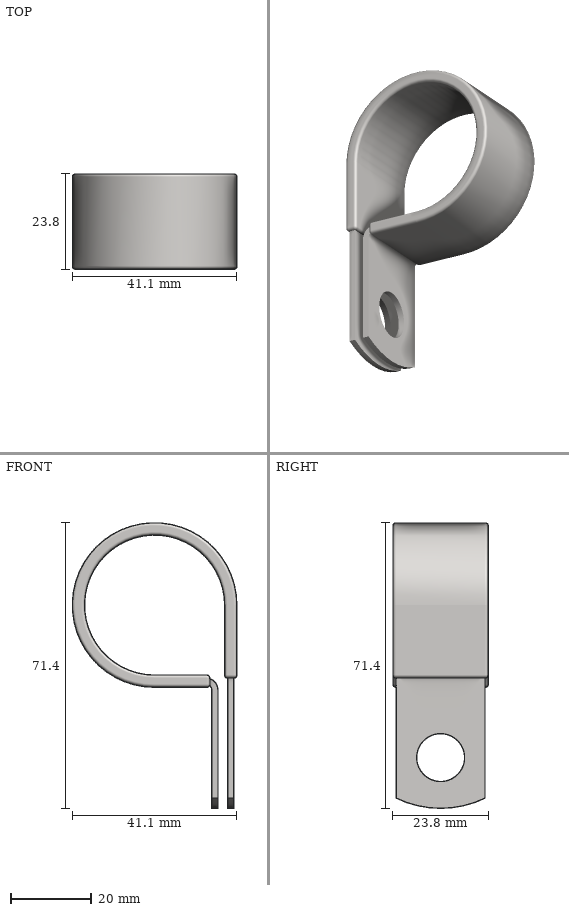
import cadquery as cq
import math


strap_thickness = 1.5875
strap_width = 22.225
bend_inner_radius = 1.4
tab_gap = 2.38
tab_bottom_z = -50.795
tab_end_radius = 25.4
hole_diameter = 11.906
hole_height = 12.7

loop_inner_radius = 17.4625
cushion_wall = 0.762
cushion_width = 23.8125
edge_fillet = 0.76
bottom_arm_end_x = 13.8
side_arm_end_z = -18.25

loop_outer_radius = loop_inner_radius + strap_thickness + 2 * cushion_wall
strap_inner_radius = loop_inner_radius + cushion_wall
strap_outer_radius = strap_inner_radius + strap_thickness
outer_tab_x = strap_inner_radius
inner_tab_x = outer_tab_x - tab_gap - strap_thickness
bend_outer_radius = bend_inner_radius + strap_thickness
bend_x = inner_tab_x - bend_inner_radius
bend_z = -strap_outer_radius - bend_inner_radius
tab_overlap = 1.0


def polar(radius, angle, center=(0.0, 0.0)):
    """Point at an angle in degrees around a centre in the XZ plane."""
    turn = math.radians(angle)
    return (center[0] + radius * math.cos(turn), center[1] + radius * math.sin(turn))


def extrude_centered(profile, width):
    """Extrude an XZ profile symmetrically about Y = 0."""
    return profile.extrude(width / 2, both=True)


def make_cushion():
    """Three-quarter loop with one arm downward and one along +X, all edges rounded."""
    profile = (
        cq.Workplane("XZ")
        .moveTo(loop_outer_radius, side_arm_end_z)
        .lineTo(loop_outer_radius, 0)
        .threePointArc(polar(loop_outer_radius, 135), (0, -loop_outer_radius))
        .lineTo(bottom_arm_end_x, -loop_outer_radius)
        .lineTo(bottom_arm_end_x, -loop_inner_radius)
        .lineTo(0, -loop_inner_radius)
        .threePointArc(polar(loop_inner_radius, 135), (loop_inner_radius, 0))
        .lineTo(loop_inner_radius, side_arm_end_z)
        .close()
    )
    cushion = extrude_centered(profile, cushion_width)
    side_arm_end = cq.selectors.NearestToPointSelector(
        ((loop_inner_radius + loop_outer_radius) / 2, 0, side_arm_end_z)
    )
    bottom_arm_end = cq.selectors.NearestToPointSelector(
        (bottom_arm_end_x, 0, -(loop_inner_radius + loop_outer_radius) / 2)
    )
    rims = cushion.faces("<Y or >Y").edges()
    ends = cushion.faces(side_arm_end).add(cushion.faces(bottom_arm_end)).edges()
    return rims.add(ends).fillet(edge_fillet)


def make_outer_tab():
    """Straight tab continuing the downward arm."""
    profile = (
        cq.Workplane("XZ")
        .moveTo(outer_tab_x, side_arm_end_z + tab_overlap)
        .lineTo(outer_tab_x + strap_thickness, side_arm_end_z + tab_overlap)
        .lineTo(outer_tab_x + strap_thickness, tab_bottom_z)
        .lineTo(outer_tab_x, tab_bottom_z)
        .close()
    )
    return extrude_centered(profile, strap_width)


def make_inner_tab():
    """Tab leaving the +X arm and bending down through a right angle."""
    bend_center = (bend_x, bend_z)
    start_x = bend_x - tab_overlap
    profile = (
        cq.Workplane("XZ")
        .moveTo(start_x, -strap_inner_radius)
        .lineTo(bend_x, -strap_inner_radius)
        .threePointArc(
            polar(bend_outer_radius, 45, bend_center),
            (inner_tab_x + strap_thickness, bend_z),
        )
        .lineTo(inner_tab_x + strap_thickness, tab_bottom_z)
        .lineTo(inner_tab_x, tab_bottom_z)
        .lineTo(inner_tab_x, bend_z)
        .threePointArc(
            polar(bend_inner_radius, 45, bend_center),
            (bend_x, -strap_outer_radius),
        )
        .lineTo(start_x, -strap_outer_radius)
        .close()
    )
    return extrude_centered(profile, strap_width)


def make_tab_envelope():
    """Block along X whose shallow rounded lower end shapes both tabs."""
    half_width = strap_width / 2
    arc_rise = tab_end_radius - math.sqrt(tab_end_radius**2 - half_width**2)
    corner_z = tab_bottom_z + arc_rise
    return (
        cq.Workplane("YZ")
        .moveTo(-half_width, 0)
        .lineTo(-half_width, corner_z)
        .threePointArc((0, tab_bottom_z), (half_width, corner_z))
        .lineTo(half_width, 0)
        .close()
        .extrude(loop_outer_radius)
    )


def make_bolt_hole():
    """Cylinder along X passing through both tabs."""
    return (
        cq.Workplane("YZ")
        .center(0, tab_bottom_z + hole_height)
        .circle(hole_diameter / 2)
        .extrude(loop_outer_radius)
    )


tabs = make_outer_tab().add(make_inner_tab()).combine()
tabs = tabs.intersect(make_tab_envelope()).cut(make_bolt_hole())
result = make_cushion().union(tabs)